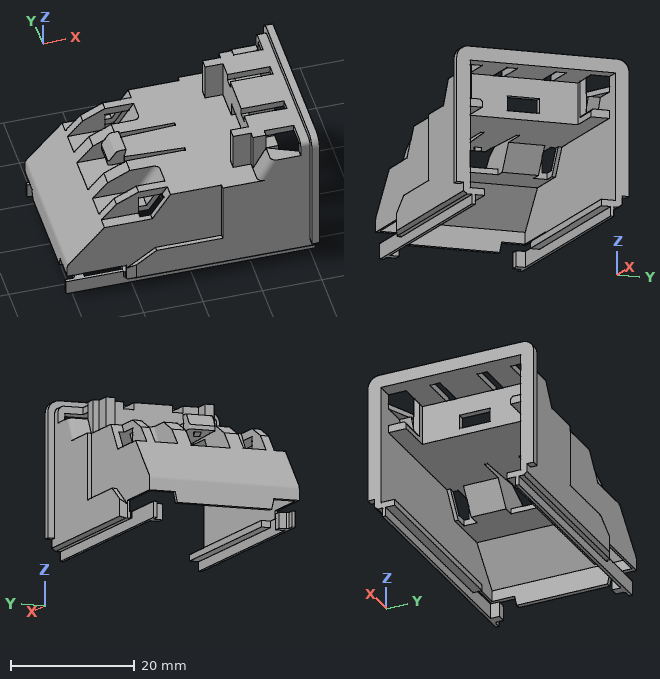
import cadquery as cq
import math

length = 42.0
flange_height = 26.35
flange_width = 30.0
flange_thickness = 1.3
flange_bottom = 3.53
flange_radius = 2.0

body_width = 27.65
nose_width = 26.12
inner_width = 25.3
body_bottom = 1.6
nose_bottom = 4.5
nose_top = 6.8
nose_radius = 1.15
nose_length = 10.0
front_thickness = 0.92
edge_bevel_height = 0.5
edge_bevel_width = 0.65

deck_height = 18.35
deck_thickness = 1.35
deck_start = 12.55
shoulder_x = 8.8
shoulder_z = 16.55
deck_bottom = deck_height - deck_thickness

block_start = 31.95
block_height = 25.15
block_roof = 1.18
block_wall = 1.2
block_radius = 1.05
roof_bottom = block_height - block_roof
cavity_step = block_start + block_wall

panel_end = 26.0
panel_bottom = 7.3
panel_corner = 14.85
skirt_front_z = 3.9
skirt_ramp = 1.5

pocket_floor = 13.75
floor_thickness = 1.1
pocket_back_bottom = 14.32
pocket_back_top = 17.4
pocket_radius = 0.9
inner_pocket = (5.75, 9.65)
outer_pocket_inner = 11.15
window_outer = 12.0
window_start = 12.55

opening_half = 3.35
opening_floor = 13.55
opening_end = 12.85
slot_end = 22.6
tongue_tip_half = 2.3
tongue_root_half = 2.8
hook_half = 2.25
hook_start = 9.85
hook_nose_top = 17.75
hook_slant_end = 11.05
hook_slant_top = 19.4
hook_arc_middle = (11.4, 19.7)
hook_flat_start = 11.8
hook_height = 19.82
hook_corner_radius = 0.35
stub_half = 0.55
stub_length = 0.65
stub_height = 0.65

post_start = 28.95
post_inner = 7.85
post_outer = 9.45
roof_slot_inner = 3.35
roof_slot_outer = 5.15
roof_slot_end = 39.15
block_window_half = 2.77
block_window_top = 20.8
corner_inner = 10.55
ledge_inner = 9.45
ledge_bevel = 0.38
corner_start = 34.2
shelf_height = 22.35
shelf_thickness = 0.92
corner_radius = 0.92

tab_top_half = 8.6
tab_bottom_half = 8.25
tab_bottom = 2.75
rail_inner = 10.15
rail_outer = 12.35
rail_height = 2.7
blade_inner = 11.75
stiffener_start = 1.7
stiffener_end = 3.28
stiffener_bevel = 0.35
web_start = 9.7
web_front_outer = 12.55
wall_overlap = 0.2
rail_corner_radius = 0.3

margin = 2.1
pick_range = 0.2


def box(x0, x1, y0, y1, z0, z1):
    """Axis-aligned block between two opposite corners."""
    return cq.Workplane("XY").box(x1 - x0, y1 - y0, z1 - z0, centered=False).translate((x0, y0, z0))


def near_point(x, y, z):
    """Selector for the edge whose middle lies at the given point."""
    low = (x - pick_range, y - pick_range, z - pick_range)
    high = (x + pick_range, y + pick_range, z + pick_range)
    return cq.selectors.BoxSelector(low, high)


def side_prism(points, y0, y1):
    """Outline in X and Z, extruded between two Y positions."""
    return cq.Workplane("XZ", origin=(0, y1, 0)).polyline(points).close().extrude(y1 - y0)


def both_sides(shape):
    """The shape together with its mirror image across the middle plane."""
    return shape.union(shape.mirror("XZ"))


def pocket_back_x(z):
    """X of the sloped pocket back at height z."""
    run = pocket_back_top - pocket_back_bottom
    return pocket_back_bottom + (z - pocket_floor) * run / (deck_height - pocket_floor)


def slope_x(z):
    """X of the sloped nose face at height z."""
    return (z - nose_top) * shoulder_x / (shoulder_z - nose_top)


def make_front():
    """Solid front and deck: a slope rising from the nose, with its bottom edge rounded."""
    profile = [(0, nose_bottom), (0, nose_top), (shoulder_x, shoulder_z), (deck_start, deck_height),
               (length, deck_height), (length, body_bottom), (nose_length, body_bottom),
               (nose_length, nose_bottom)]
    front = side_prism(profile, -nose_width / 2, nose_width / 2)
    return front.edges(near_point(0, 0, nose_top)).fillet(nose_radius)


def make_skirt():
    """Full-width layer: rear sides and the low strip running forward, ramped at its front end."""
    profile = [(nose_length, body_bottom), (length, body_bottom), (length, deck_height),
               (panel_end, deck_height), (panel_end, panel_bottom), (panel_corner, panel_bottom),
               (nose_length, skirt_front_z)]
    half = body_width / 2
    nose_half = nose_width / 2
    plan = [(nose_length, -nose_half), (nose_length + skirt_ramp, -half), (length, -half),
            (length, half), (nose_length + skirt_ramp, half), (nose_length, nose_half)]
    envelope = cq.Workplane("XY").polyline(plan).close().extrude(flange_height)
    return side_prism(profile, -half, half).intersect(envelope)


def make_block():
    """Raised block at the rear with rounded upper edges."""
    block = box(block_start, length, -body_width / 2, body_width / 2, body_bottom, block_height)
    return block.edges("|X and >Z").fillet(block_radius)


def make_flange():
    """Plate around the rear opening."""
    flange = box(length - flange_thickness, length, -flange_width / 2, flange_width / 2,
                 flange_bottom, flange_height)
    return flange.edges("|X and >Z").fillet(flange_radius)


def bottom_bevels():
    """Wedges that slope the bottom outer edges of the skirt."""
    half = body_width / 2
    wedge = [(half, body_bottom), (half, body_bottom + edge_bevel_height),
             (half - edge_bevel_width, body_bottom)]
    return both_sides(cq.Workplane("YZ").polyline(wedge).close().extrude(length))


def make_cavity():
    """Inside of the shell, open at the bottom and the rear."""
    floor_bottom = pocket_floor - floor_thickness
    slope_gap = front_thickness / math.cos(math.atan2(shoulder_x, shoulder_z - nose_top))
    back_run = pocket_back_top - pocket_back_bottom
    back_gap = front_thickness / math.cos(math.atan2(back_run, deck_height - pocket_floor))
    slope_start_z = nose_top + (front_thickness - slope_gap) * (shoulder_z - nose_top) / shoulder_x
    profile = [(front_thickness, -margin), (front_thickness, slope_start_z),
               (slope_x(floor_bottom) + slope_gap, floor_bottom),
               (pocket_back_x(floor_bottom) + back_gap, floor_bottom),
               (pocket_back_x(deck_bottom) + back_gap, deck_bottom),
               (cavity_step, deck_bottom), (cavity_step, roof_bottom),
               (length + margin, roof_bottom), (length + margin, -margin)]
    return side_prism(profile, -inner_width / 2, inner_width / 2)


def make_pockets():
    """Two pockets on each side of the slope, the outer ones open sideways and joined by a window."""
    top = deck_height + margin
    profile = [(0, pocket_floor), (pocket_back_bottom, pocket_floor), (pocket_back_x(top), top), (0, top)]
    inner = side_prism(profile, *inner_pocket)
    middle_z = (pocket_floor + top) / 2
    back_corner = near_point(pocket_back_x(middle_z), inner_pocket[0], middle_z)
    inner = inner.edges(back_corner).fillet(pocket_radius)
    outer = side_prism(profile, outer_pocket_inner, nose_width / 2 + margin)
    outer = outer.intersect(box(0, panel_end, 0, nose_width / 2, 0, top))
    window = box(window_start, pocket_back_top + margin, inner_pocket[1], window_outer,
                 pocket_floor - margin, deck_bottom)
    return both_sides(inner.union(outer).union(window))


def make_opening():
    """Central opening in the slope, running on under the deck and as a slot around the tongue."""
    above = box(0, opening_end, -opening_half, opening_half, opening_floor, deck_height + margin)
    behind = box(opening_end, pocket_back_top + margin, -opening_half, opening_half,
                 opening_floor - margin, deck_bottom)
    slot = box(opening_end, slot_end, -opening_half, opening_half, deck_bottom, deck_height)
    return above.union(behind).union(slot)


def make_tongue():
    """Tapered spring tongue with a hook and a small wedge under its tip."""
    plan = [(deck_start, -tongue_tip_half), (slot_end, -tongue_root_half),
            (slot_end, tongue_root_half), (deck_start, tongue_tip_half)]
    tongue = cq.Workplane("XY", origin=(0, 0, deck_bottom)).polyline(plan).close().extrude(deck_thickness)
    hook = (cq.Workplane("XZ", origin=(0, hook_half, 0))
            .moveTo(hook_start, deck_bottom)
            .lineTo(hook_start, hook_nose_top)
            .lineTo(hook_slant_end, hook_slant_top)
            .threePointArc(hook_arc_middle, (hook_flat_start, hook_height))
            .lineTo(opening_end, hook_height)
            .lineTo(deck_start, deck_height)
            .lineTo(deck_start, deck_bottom)
            .close().extrude(2 * hook_half))
    hook = hook.edges("|Z and <X").fillet(hook_corner_radius)
    stub = side_prism([(deck_start - stub_length, deck_bottom), (deck_start, deck_bottom),
                       (deck_start, deck_bottom - stub_height)], -stub_half, stub_half)
    return tongue.union(hook).union(stub)


def corner_recesses():
    """Openings in the block's front corners: a sloped face rising to a shelf, under a cut roof."""
    half = body_width / 2
    top = block_height + margin
    profile = [(block_start - margin, deck_height), (block_start, deck_height), (corner_start, shelf_height),
               (roof_slot_end, shelf_height), (roof_slot_end, top), (block_start - margin, top)]
    recess = side_prism(profile, corner_inner, half + margin)
    roof_cut = box(corner_start, roof_slot_end, ledge_inner, corner_inner, shelf_height, top)
    return both_sides(recess.union(roof_cut))


def corner_floors():
    """Sloped plates and shelves that close the corner recesses."""
    drop = shelf_thickness
    slope = [(block_start, deck_height), (corner_start, shelf_height), (roof_slot_end, shelf_height),
             (roof_slot_end, shelf_height - drop), (corner_start + drop, shelf_height - drop),
             (block_start + drop, deck_bottom), (block_start, deck_bottom)]
    plate = side_prism(slope, corner_inner, inner_width / 2)
    shelf_hole = (cq.Workplane("XY", origin=(0, 0, shelf_height - drop))
                  .moveTo(corner_start, corner_inner)
                  .lineTo(roof_slot_end, inner_width / 2)
                  .lineTo(roof_slot_end, corner_inner)
                  .close().extrude(drop))
    return both_sides(plate.cut(shelf_hole))


def block_corner_rounding():
    """Material outside the round on each sloped outer corner of the block."""
    half = body_width / 2
    run = corner_start - block_start
    rise = shelf_height - deck_height
    width = 2 * corner_radius * math.hypot(run, rise) / rise
    sloped = [(block_start - run, deck_height - rise), (corner_start + run, shelf_height + rise),
              (corner_start + run + width, shelf_height + rise),
              (block_start - run + width, deck_height - rise)]
    corner = side_prism(sloped, half - 2 * corner_radius, half)
    round_edge = near_point((block_start + corner_start) / 2, half, (deck_height + shelf_height) / 2)
    outside = corner.cut(corner.edges(round_edge).fillet(corner_radius))
    return both_sides(outside.intersect(box(0, length, 0, flange_width, deck_height, shelf_height)))


def corner_inner_walls():
    """Solid corners behind the block face and bevelled ledges at deck level along the recesses."""
    corner = box(block_start, corner_start, ledge_inner, corner_inner, deck_bottom, block_height)
    ledge = box(block_start, roof_slot_end, ledge_inner, inner_width / 2, deck_bottom, deck_height)
    ledge = ledge.edges("|X and >Z and <Y").chamfer(ledge_bevel)
    return both_sides(corner.union(ledge))


def make_posts():
    """Two upright ribs standing in front of the block."""
    return both_sides(box(post_start, block_start, post_inner, post_outer, deck_bottom, block_height))


def block_openings():
    """Two slots through the roof of the block and a window in its front wall."""
    roof_slot = box(block_start, roof_slot_end, roof_slot_inner, roof_slot_outer,
                    roof_bottom, block_height)
    window = box(block_start, cavity_step, -block_window_half, block_window_half,
                 deck_height, block_window_top)
    return both_sides(roof_slot).union(window)


def make_tab():
    """Tapered tab hanging below the nose."""
    outline = [(-tab_top_half, nose_bottom), (tab_top_half, nose_bottom),
               (tab_bottom_half, tab_bottom), (-tab_bottom_half, tab_bottom)]
    return cq.Workplane("YZ").polyline(outline).close().extrude(front_thickness)


def make_rails():
    """Bottom rails: thin blades stiffened near the front, joined to the side walls behind the nose."""
    plan = [(0, rail_outer), (length, rail_outer), (length, blade_inner), (stiffener_end, blade_inner),
            (stiffener_end, rail_inner), (stiffener_start, rail_inner),
            (stiffener_start, blade_inner - stiffener_bevel),
            (stiffener_start - stiffener_bevel, blade_inner),
            (0, blade_inner)]
    rail = cq.Workplane("XY").polyline(plan).close().extrude(rail_height)
    rail = rail.edges("|Y and <X and <Z").fillet(rail_corner_radius)
    web = box(web_start, length, rail_inner, web_front_outer, body_bottom, rail_height)
    wall_joint = box(nose_length, length, rail_outer, inner_width / 2 + wall_overlap,
                     body_bottom, rail_height)
    return both_sides(rail.union(web).union(wall_joint))


shell = make_front().union(make_skirt()).cut(bottom_bevels())
shell = shell.union(make_block().cut(bottom_bevels())).union(make_flange())
shell = shell.cut(make_cavity()).cut(make_pockets()).cut(make_opening())
shell = shell.cut(corner_recesses()).union(corner_floors()).cut(block_corner_rounding())
shell = shell.cut(block_openings()).union(corner_inner_walls()).union(make_posts())
result = shell.union(make_tongue()).union(make_tab()).union(make_rails())